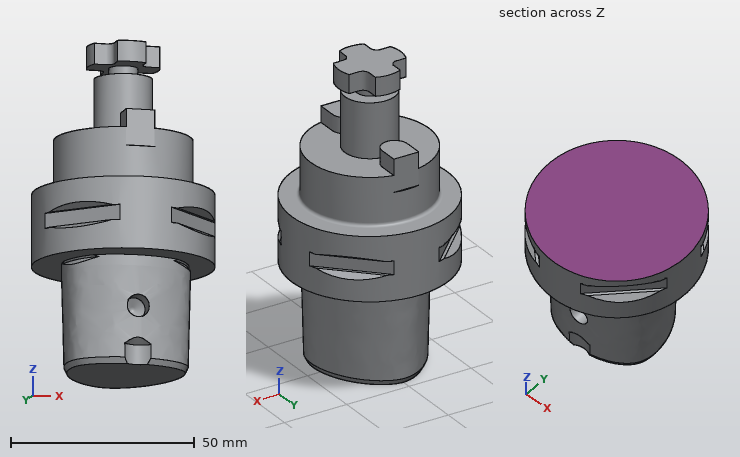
import cadquery as cq
import math

shank_length = 30.0
flange_height = 20.0
shoulder_top = 35.0
pilot_top = 52.1
head_bottom = 55.15
head_top = 61.0

flange_radius = 50.0 / 2
shoulder_radius = 19.0
shoulder_fillet = 1.0
pilot_radius = 8.0
screw_neck_radius = 4.0

head_radius = 10.0
arm_width = 8.0
arm_corner_fillet = 2.0

key_width = 8.0
key_bottom = 29.85
key_top = 40.0
key_round_center = 12.7
key_flat_y = math.sqrt(shoulder_radius**2 - (key_width / 2) ** 2)

slot_floor_distance = 22.0
slot_floor_height = 4.2
slot_mouth_height = 6.9
slot_ledge_depth = 0.9
slot_count = 4

lobe_count = 3
shank_radius = 17.6
lobe_rise = 1.1
outline_points = 48
straight_length = 3.0
taper_per_side = 1 / 40
tip_chamfer_height = 1.6
tip_chamfer_width = 0.8

relief_radius = 17.65
relief_mouth_radius = 17.9
relief_cone_top = -0.55
relief_cone_bottom = -1.9

cross_hole_radius = 3.1
cross_hole_z = -14.0
cross_hole_depth = 5.0
cross_hole_tip_angle = 31
keyway_radius = 5.0
keyway_axis_y = -19.0
keyway_tip_angle = 42
keyway_shoulder_z = -24.6


def disc(radius, bottom, top):
    return cq.Workplane("XY").workplane(offset=bottom).circle(radius).extrude(top - bottom)


def drill(radius, length, tip_angle):
    """Drill along +Z from the origin; tip_angle is the slope of its conical tip, in degrees."""
    tip = length + radius * math.tan(math.radians(tip_angle))
    half_section = [(0, 0), (radius, 0), (radius, length), (0, tip)]
    return cq.Workplane("XZ").polyline(half_section).close().revolve(360, (0, 0), (0, 1))


def lobed_wire(mean_radius, z):
    """Constant-width outline with lobes at +Y and 120 degrees to either side."""

    def point(turn):
        angle = 2 * math.pi * turn - math.pi / 2
        lobe_phase = lobe_count * (angle - math.pi / 2)
        reach = mean_radius + lobe_rise * math.cos(lobe_phase)
        slide = -lobe_count * lobe_rise * math.sin(lobe_phase)
        return (
            reach * math.cos(angle) - slide * math.sin(angle),
            reach * math.sin(angle) + slide * math.cos(angle),
            z,
        )

    points = [cq.Vector(*point(i / outline_points)) for i in range(outline_points)]
    edge = cq.Edge.makeSpline(points, periodic=True)
    return cq.Wire.assembleEdges([edge])


def make_shank():
    chamfer_top = tip_chamfer_height - shank_length
    taper_length = shank_length - straight_length - tip_chamfer_height
    end_radius = shank_radius - taper_per_side * taper_length
    sections = [
        lobed_wire(shank_radius, 0),
        lobed_wire(shank_radius, -straight_length),
        lobed_wire(end_radius, chamfer_top),
        lobed_wire(end_radius - tip_chamfer_width, -shank_length),
    ]
    shank = cq.Workplane(cq.Solid.makeLoft(sections, True))
    return shank.cut(make_lobe_relief()).cut(make_cross_hole()).cut(make_keyway())


def make_lobe_relief():
    lobe_radius = shank_radius + lobe_rise
    half_section = [
        (relief_mouth_radius, 0),
        (relief_radius, relief_cone_top),
        (lobe_radius, relief_cone_bottom),
        (flange_radius, relief_cone_bottom),
        (flange_radius, 0),
    ]
    return cq.Workplane("XZ").polyline(half_section).close().revolve(360, (0, 0), (0, 1))


def make_cross_hole():
    mouth_y = -shank_radius
    length = lobe_rise + cross_hole_depth
    hole = drill(cross_hole_radius, length, cross_hole_tip_angle)
    return hole.rotate((0, 0, 0), (1, 0, 0), -90).translate((0, mouth_y, cross_hole_z))


def make_keyway():
    keyway = drill(keyway_radius, keyway_shoulder_z + shank_length, keyway_tip_angle)
    return keyway.translate((0, keyway_axis_y, -shank_length))


def make_flange():
    flange = disc(flange_radius, 0, flange_height)
    ledge_edge = slot_floor_distance + slot_ledge_depth
    mouth_growth = (slot_mouth_height - slot_floor_height) / 2
    slope = mouth_growth / (flange_radius - ledge_edge)
    outer = 2 * flange_radius
    half_floor = slot_floor_height / 2
    half_outer = half_floor + slope * (outer - ledge_edge)
    section = [
        (slot_floor_distance, -half_floor),
        (ledge_edge, -half_floor),
        (outer, -half_outer),
        (outer, half_outer),
        (ledge_edge, half_floor),
        (slot_floor_distance, half_floor),
    ]
    slot = cq.Workplane("XZ").polyline(section).close().extrude(flange_radius, both=True)
    slot = slot.translate((0, 0, flange_height / 2))
    for i in range(slot_count):
        angle = (i + 0.5) * 360 / slot_count
        flange = flange.cut(slot.rotate((0, 0, 0), (0, 0, 1), angle))
    return flange


def make_shoulder():
    """Shoulder with a concave fillet at its foot and cut flush with the flat outer end of each key."""
    foot = flange_height + shoulder_fillet
    middle = shoulder_fillet * (1 - math.sqrt(0.5))
    shoulder = (
        cq.Workplane("XZ")
        .moveTo(0, flange_height)
        .lineTo(shoulder_radius + shoulder_fillet, flange_height)
        .threePointArc((shoulder_radius + middle, flange_height + middle), (shoulder_radius, foot))
        .lineTo(shoulder_radius, shoulder_top)
        .lineTo(0, shoulder_top)
        .close()
        .revolve(360, (0, 0), (0, 1))
    )
    for side in (-1, 1):
        clearance = cq.Workplane("XY").box(key_width, shoulder_radius, shoulder_top - key_bottom)
        clearance_y = side * (key_flat_y + shoulder_radius / 2)
        shoulder = shoulder.cut(clearance.translate((0, clearance_y, (shoulder_top + key_bottom) / 2)))
    return shoulder


def make_keys():
    """Two opposite keys, each flat on the outside and half round towards the axis."""
    half_width = key_width / 2
    key = (
        cq.Workplane("XY")
        .workplane(offset=key_bottom)
        .moveTo(-half_width, key_flat_y)
        .lineTo(-half_width, key_round_center)
        .threePointArc((0, key_round_center - half_width), (half_width, key_round_center))
        .lineTo(half_width, key_flat_y)
        .close()
        .extrude(key_top - key_bottom)
    )
    return key.union(key.mirror("XZ"))


def make_screw_head():
    height = head_top - head_bottom
    plane = cq.Workplane("XY").workplane(offset=head_bottom)
    cross = plane.rect(2 * head_radius, arm_width).extrude(height)
    cross = cross.union(plane.rect(arm_width, 2 * head_radius).extrude(height))
    inner = arm_width / 2 + arm_corner_fillet
    corners = cq.selectors.BoxSelector((-inner, -inner, head_bottom), (inner, inner, head_top))
    cross = cross.edges("|Z").edges(corners).fillet(arm_corner_fillet)
    return cross.intersect(disc(head_radius, head_bottom, head_top))


result = (
    make_flange()
    .union(make_shank())
    .union(make_shoulder())
    .union(make_keys())
    .union(disc(pilot_radius, shoulder_top, pilot_top))
    .union(disc(screw_neck_radius, pilot_top, head_bottom))
    .union(make_screw_head())
)